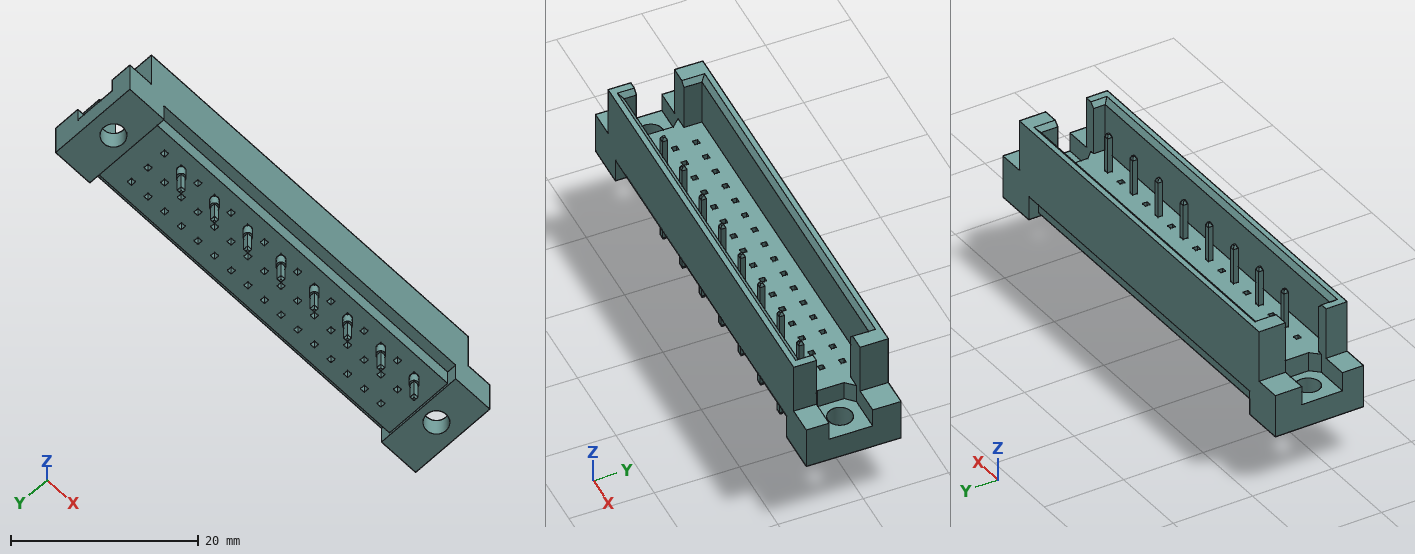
import cadquery as cq

LENGTH = 55.0
WIDTH = 11.1
TOP_Z = 11.6
SHROUD_LENGTH = 48.4
FLOOR_Z = 5.3

CAVITY_WIDTH = 8.7
REAR_CAVITY_LENGTH = 43.45
FRONT_CAVITY_LENGTH = 45.45
LEAD_IN = 0.55
LEAD_IN_DEPTH = 0.55

SLOT_WIDTH = 5.1
SLOT_Y = -0.35
SLOT_FLOOR_Z = 2.95
BLOCK_LENGTH = 44.55
POCKET_CHAMFER = 1.0
MOUNT_SPACING = 49.35
MOUNT_DIAMETER = 2.85

BLOCK_BOTTOM_Z = 0.5
STEP_Z = 2.95

COLUMNS = 16
ROWS = 3
CONTACT_SPAN = 38.1
COLUMN_PITCH = CONTACT_SPAN / (COLUMNS - 1)
ROW_PITCH = 2.5
CONTACT_SIZE = 0.6

PIN_BOTTOM_Z = -4.6
PIN_TOP_Z = 10.0
PIN_TAPER = 0.4
PIN_TIP_SIZE = 0.3
COLLAR_DIAMETER = 1.05
COLLAR_LENGTH = 1.5


def block(length, width, bottom_z, top_z, y=0.0):
    """Box centred on X = 0 and on the given Y, between two heights."""
    return (
        cq.Workplane("XY", origin=(0, y, bottom_z))
        .rect(length, width)
        .extrude(top_z - bottom_z)
    )


def frustum(center, bottom_size, top_size, height):
    """Square prism with different bottom and top sides."""
    return (
        cq.Workplane("XY", origin=center)
        .rect(bottom_size, bottom_size)
        .workplane(offset=height)
        .rect(top_size, top_size)
        .loft(ruled=True)
    )


def cavity_cut(length):
    """Cavity of full width with a sloped lead-in around its mouth."""
    mouth_z = TOP_Z - LEAD_IN_DEPTH
    lead_in = (
        cq.Workplane("XY", origin=(0, 0, mouth_z))
        .rect(length, CAVITY_WIDTH)
        .workplane(offset=LEAD_IN_DEPTH)
        .rect(length + 2 * LEAD_IN, CAVITY_WIDTH + 2 * LEAD_IN)
        .loft(ruled=True)
    )
    return block(length, CAVITY_WIDTH, FLOOR_Z, mouth_z).union(lead_in)


def shroud_cuts():
    """Shorter cavity behind the slot axis, longer cavity in front of it."""
    rear_half = block(LENGTH, WIDTH, FLOOR_Z, TOP_Z, SLOT_Y + WIDTH / 2)
    front_half = block(LENGTH, WIDTH, FLOOR_Z, TOP_Z, SLOT_Y - WIDTH / 2)
    rear = cavity_cut(REAR_CAVITY_LENGTH).intersect(rear_half)
    front = cavity_cut(FRONT_CAVITY_LENGTH).intersect(front_half)
    return [rear, front]


def slot_cuts():
    """Gap between the shroud walls, and a pocket with chamfered inner corners at each end."""
    cuts = [block(LENGTH, SLOT_WIDTH, FLOOR_Z, TOP_Z, SLOT_Y)]
    pocket_length = (LENGTH - BLOCK_LENGTH) / 2
    pocket_depth = FLOOR_Z - SLOT_FLOOR_Z
    for side, inner_face in ((-1, ">X"), (1, "<X")):
        pocket_x = side * (LENGTH - pocket_length) / 2
        pocket = (
            cq.Workplane("XY", origin=(pocket_x, SLOT_Y, SLOT_FLOOR_Z))
            .rect(pocket_length, SLOT_WIDTH)
            .extrude(pocket_depth)
            .faces(inner_face)
            .edges("|Z")
            .chamfer(POCKET_CHAMFER)
        )
        cuts.append(pocket)
    return cuts


def underside_cuts():
    """Raised underside between the feet, with a step along both long sides."""
    cuts = [block(BLOCK_LENGTH, WIDTH, 0, BLOCK_BOTTOM_Z)]
    step_width = (WIDTH - CAVITY_WIDTH) / 2
    for side in (-1, 1):
        step_y = side * (WIDTH - step_width) / 2
        cuts.append(block(BLOCK_LENGTH, step_width, 0, STEP_Z, step_y))
    return cuts


def make_housing():
    housing = block(LENGTH, WIDTH, 0, FLOOR_Z)
    housing = housing.union(block(SHROUD_LENGTH, WIDTH, FLOOR_Z, TOP_Z))
    for cut in [*shroud_cuts(), *slot_cuts(), *underside_cuts()]:
        housing = housing.cut(cut)

    mounting_holes = (
        cq.Workplane("XY", origin=(0, SLOT_Y, 0))
        .rarray(MOUNT_SPACING, 0.55, 2, 1)
        .circle(MOUNT_DIAMETER / 2)
        .extrude(SLOT_FLOOR_Z)
    )
    contact_holes = (
        cq.Workplane("XY")
        .rarray(COLUMN_PITCH, ROW_PITCH, COLUMNS, ROWS)
        .rect(CONTACT_SIZE, CONTACT_SIZE)
        .extrude(FLOOR_Z)
    )
    return housing.cut(mounting_holes).cut(contact_holes)


def make_pin(x, y):
    """Square pin with tapered ends and a round collar below the housing."""
    shank_bottom_z = PIN_BOTTOM_Z + PIN_TAPER
    shank_top_z = PIN_TOP_Z - PIN_TAPER
    shank = (
        cq.Workplane("XY", origin=(x, y, shank_bottom_z))
        .rect(CONTACT_SIZE, CONTACT_SIZE)
        .extrude(shank_top_z - shank_bottom_z)
    )
    lower_tip = frustum((x, y, PIN_BOTTOM_Z), PIN_TIP_SIZE, CONTACT_SIZE, PIN_TAPER)
    upper_tip = frustum((x, y, shank_top_z), CONTACT_SIZE, PIN_TIP_SIZE, PIN_TAPER)
    collar = (
        cq.Workplane("XY", origin=(x, y, -COLLAR_LENGTH))
        .circle(COLLAR_DIAMETER / 2)
        .extrude(COLLAR_LENGTH)
    )
    return shank.union(lower_tip).union(upper_tip).union(collar)


housing = make_housing()

pins = []
for column in range(1, COLUMNS, 2):
    pin_x = column * COLUMN_PITCH - CONTACT_SPAN / 2
    pins.append(make_pin(pin_x, -ROW_PITCH).val())

result = cq.Compound.makeCompound([housing.val(), *pins])